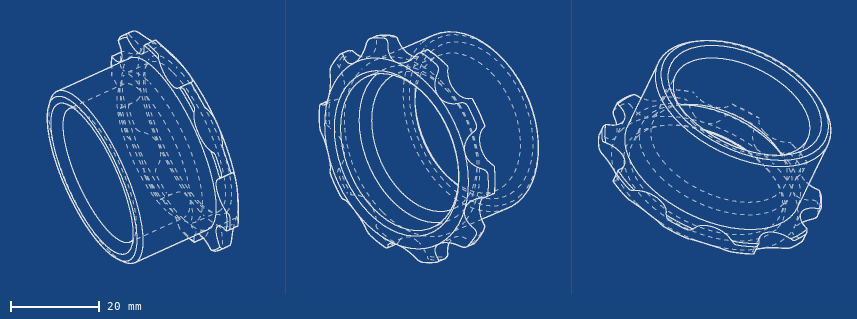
import cadquery as cq
import math

total_length = 25.0
flange_thickness = 5.0
flange_start = total_length - flange_thickness
recess_depth = 9.0

sleeve_radius = 21.2
sleeve_chamfer = 1.0
bore_radius = 16.5
bore_lead_in = 2.0

recess_radius = 18.5
recess_step = recess_radius - bore_radius
recess_start = total_length - recess_depth
recess_chamfer = 1.0

tip_radius = 26.5
tip_chamfer = 0.5
root_radius = 22.5
bevel_angle = 30.0
bevel_length = (tip_radius - root_radius) * math.tan(math.radians(bevel_angle))
notch_count = 10
notch_pitch = 360.0 / notch_count
notch_radius = 5.0
notch_centre_radius = root_radius + notch_radius
tooth_corner_radius = 1.5

length_tolerance = 0.001
mid_tooth_tolerance = 1.0


def revolve_about_y(points):
    """Solid of revolution about Y from (radius, y) points."""
    return cq.Workplane("XY").polyline(points).close().revolve(360, (0, 0, 0), (0, 1, 0))


def make_sleeve():
    return revolve_about_y([
        (0, 0),
        (sleeve_radius - sleeve_chamfer, 0),
        (sleeve_radius, sleeve_chamfer),
        (sleeve_radius, total_length),
        (0, total_length),
    ])


def make_flange_blank():
    """Disc with a small chamfer on the sleeve side and a long bevel on the outer face."""
    return revolve_about_y([
        (0, flange_start),
        (tip_radius - tip_chamfer, flange_start),
        (tip_radius, flange_start + tip_chamfer),
        (tip_radius, total_length - bevel_length),
        (root_radius, total_length),
        (0, total_length),
    ])


def is_tooth_corner(edge):
    """True for the edges where a notch wall meets the tip circle, away from the middle of a tooth."""
    centre = edge.Center()
    angle = math.degrees(math.atan2(centre.z, centre.x))
    offset_from_mid_tooth = abs(angle - notch_pitch * round(angle / notch_pitch))
    on_tip_circle = math.isclose(math.hypot(centre.x, centre.z), tip_radius, abs_tol=length_tolerance)
    return on_tip_circle and offset_from_mid_tooth > mid_tooth_tolerance


def make_toothed_prism():
    """Straight prism with round notches and rounded tooth corners."""
    flange_plane = cq.Workplane("XZ", origin=(0, flange_start, 0))
    disc = flange_plane.circle(tip_radius).extrude(-flange_thickness)
    notches = (
        flange_plane
        .polarArray(notch_centre_radius, notch_pitch / 2, 360, notch_count)
        .circle(notch_radius)
        .extrude(-flange_thickness)
    )
    toothed = disc.cut(notches)
    return toothed.edges("|Y").filter(is_tooth_corner).fillet(tooth_corner_radius)


def make_bore():
    """Bore with a lead-in chamfer, widening by a 45 degree step into the recess."""
    return revolve_about_y([
        (0, 0),
        (bore_radius + bore_lead_in, 0),
        (bore_radius, bore_lead_in),
        (bore_radius, recess_start),
        (recess_radius, recess_start + recess_step),
        (recess_radius, total_length - recess_chamfer),
        (recess_radius + recess_chamfer, total_length),
        (0, total_length),
    ])


flange = make_flange_blank().intersect(make_toothed_prism())
result = make_sleeve().union(flange).cut(make_bore())